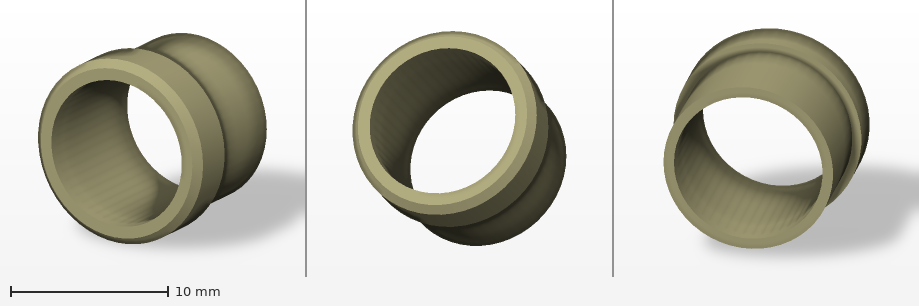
import cadquery as cq

collar_diameter = 12.19
body_diameter = 11.0
bore_diameter = 9.63
total_length = 9.47
collar_length = 3.19
collar_chamfer = 0.5


def cylinder_along_y(diameter, length):
    """Cylinder centred on the Y axis, running from Y = 0 towards +Y."""
    return cq.Workplane("XZ").circle(diameter / 2).extrude(-length)


collar = cylinder_along_y(collar_diameter, collar_length).faces("<Y").chamfer(collar_chamfer)

body = cylinder_along_y(body_diameter, total_length)

bore = cylinder_along_y(bore_diameter, total_length)

result = collar.union(body).cut(bore)